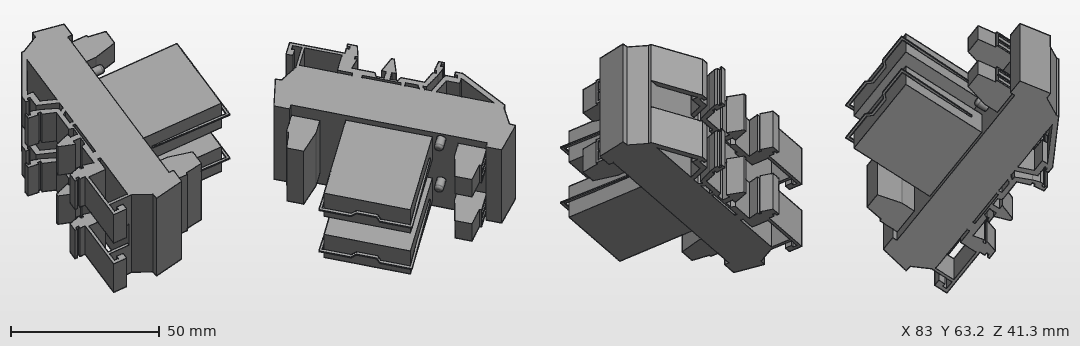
import cadquery as cq


LENGTH = 83.0
WIDTH = 41.3
RIM_Y = 18.5
DECK_Y = 16.8
DECK_HALF = 33.9
RIM_HALF = 39.35
TIP_Y = 7.5
SHOULDER_Y = 7.3
FOOT_FACE_HALF = 35.9
FOOT_FACE_Y = 1.0

RELAY_HALF = 14.9
RELAY_THICK = 13.0
RELAY_TOP = 48.1
RELAY_CENTRES = (9.0, 32.2)
CLIP_TOP = 50.7
CLIP_END_Y = 21.1
CLIP_HALF_TOP = 16.1
CLIP_HALF_END = 15.4
CLIP_WALL = 0.9
CLIP_BAR = 1.0
CLIP_THICK = 0.6
DIP_HALF_OUTER = 5.0
DIP_HALF_FLOOR = 3.5
DIP_DEPTH = CLIP_TOP - CLIP_BAR - RELAY_TOP
DIP_INNER_SHIFT = 0.2

PIN_X = -18.1
PIN_RADIUS = 1.6
PIN_TOP = 21.3
PIN_ROUND = 1.0
PIN_ABOVE_RELAY_CENTRE = 6.55

BLOCK_TOP = 30.5
BLOCK_OUTER = 33.7
BLOCK_INNER = 23.9
BLOCK_CREST_OUTER = 31.95
BLOCK_CREST_INNER = 26.15
BLOCK_STEP_X = 32.95
BLOCK_STEP_Y = 24.0
BLOCK_TAPER_Y = 21.9
SMALL_BLOCK_WIDTH = 9.8
SMALL_BLOCK_CENTRES = (8.05, 33.0)
LARGE_BLOCK_WIDTH = 29.9
WINDOW_TOP = 23.2
WINDOW_WIDTH = 3.5
WINDOW_PITCH = 4.2
WINDOW_DEPTH = 0.5
WINDOW_OFFSET = 0.1

TIER_GAP = 11.0
TIER_WIDTH = (WIDTH - TIER_GAP) / 2
TIER_STARTS = (0.0, WIDTH - TIER_WIDTH)
FOOT_BOTTOM = -12.45
PLATE_BOTTOM = -3.0
PLATE_RIGHT = 22.1
FIXED_FOOT_ROOT = 17.6
PLATE_LEFT_TOP = -1.25
PLATE_RIGHT_TOP = -1.0
PLATE_TOP_LEFT_X = -8.6
PLATE_BOTTOM_LEFT_X = -7.55
RELIEF_TOP = -1.5
CATCH_DEPTH = 1.0
SPRING_FOOT_LEFT = -12.2

TRAY_FLOOR_TOP = -7.5
TRAY_FLOOR_BOTTOM = -8.55
TRAY_WALL = 1.0
TRAY_LEFT = 21.3
TRAY_RIGHT = 40.4
LIP_TOP = -3.5
LIP_LEFT = 38.0
LIP_WALL = 1.3
LIP_BOTTOM = -6.0


def prism(points, z_start, depth):
    """Extrude a closed XY outline upward from z_start."""
    return cq.Workplane("XY").workplane(offset=z_start).polyline(points).close().extrude(depth)


def block(x_min, x_max, y_min, y_max, z_start, depth):
    """Rectangular block given by its limits in X and Y."""
    corners = [(x_min, y_min), (x_max, y_min), (x_max, y_max), (x_min, y_max)]
    return prism(corners, z_start, depth)


def mirrored(right_half):
    """Close an outline by mirroring its +X half, listed from one end to the other."""
    return right_half + [(-x, y) for x, y in reversed(right_half)]


def housing():
    right_half = [
        (FOOT_FACE_HALF, 0),
        (FOOT_FACE_HALF, FOOT_FACE_Y),
        (RIM_HALF, SHOULDER_Y),
        (LENGTH / 2, TIP_Y),
        (RIM_HALF, RIM_Y),
        (DECK_HALF, RIM_Y),
        (DECK_HALF, DECK_Y),
    ]
    return prism(mirrored(right_half), 0, WIDTH)


def relay(z_centre):
    z_start = z_centre - RELAY_THICK / 2
    return block(-RELAY_HALF, RELAY_HALF, DECK_Y, RELAY_TOP, z_start, RELAY_THICK)


def clip(z_centre):
    """Flat strip bent over the relay, with a dip that presses on the relay top."""
    bar_bottom = CLIP_TOP - CLIP_BAR
    right_half = [
        (DIP_HALF_FLOOR + DIP_INNER_SHIFT, RELAY_TOP),
        (DIP_HALF_OUTER + DIP_INNER_SHIFT, bar_bottom),
        (CLIP_HALF_TOP - CLIP_WALL, bar_bottom),
        (CLIP_HALF_END - CLIP_WALL, CLIP_END_Y),
        (CLIP_HALF_END, CLIP_END_Y),
        (CLIP_HALF_TOP, CLIP_TOP),
        (DIP_HALF_OUTER, CLIP_TOP),
        (DIP_HALF_FLOOR, CLIP_TOP - DIP_DEPTH),
    ]
    return prism(mirrored(right_half), z_centre - CLIP_THICK / 2, CLIP_THICK)


def guide_pin(z_centre):
    """Round-ended pin standing on the deck."""
    pin = cq.Workplane("XZ", origin=(PIN_X, DECK_Y, z_centre)).circle(PIN_RADIUS)
    return pin.extrude(DECK_Y - PIN_TOP).faces(">Y").edges().fillet(PIN_ROUND)


def terminal_block(z_centre, width):
    """Tapered terminal block for the +X end."""
    outline = [
        (BLOCK_INNER, DECK_Y),
        (BLOCK_OUTER, DECK_Y),
        (BLOCK_OUTER, BLOCK_STEP_Y),
        (BLOCK_STEP_X, BLOCK_STEP_Y),
        (BLOCK_CREST_OUTER, BLOCK_TOP),
        (BLOCK_CREST_INNER, BLOCK_TOP),
        (BLOCK_INNER, BLOCK_TAPER_Y),
    ]
    return prism(outline, z_centre - width / 2, width)


def small_terminal_block(z_centre):
    """Two-pole block at the -X end with a shallow window for each pole."""
    body = terminal_block(z_centre, SMALL_BLOCK_WIDTH).mirror("YZ")
    for side in (-1, 1):
        z_start = z_centre + WINDOW_OFFSET + side * WINDOW_PITCH / 2 - WINDOW_WIDTH / 2
        window_floor = WINDOW_DEPTH - BLOCK_OUTER
        window = block(-BLOCK_OUTER, window_floor, DECK_Y, WINDOW_TOP, z_start, WINDOW_WIDTH)
        body = body.cut(window)
    return body


def slanted_leg(z_start):
    """Triangular leg at the -X end, ending in a small hook."""
    toe_left = -19.2
    toe_right = -16.6
    toe_bottom = -9.55
    lip_top = -8.3
    hook_x = -17.7
    knee_bottom = -7.4
    knee_top = -5.2
    outline = [
        (-FOOT_FACE_HALF, 0),
        (toe_left, toe_bottom),
        (toe_right, toe_bottom),
        (toe_right, lip_top),
        (hook_x, lip_top),
        (hook_x, knee_bottom),
        (-13.6, knee_bottom),
        (-10.6, 0),
        (-12.4, 0),
        (-14.6, knee_top),
        (toe_left, knee_top),
        (toe_left, knee_bottom),
        (-32.2, 0),
    ]
    return prism(outline, z_start, TIER_WIDTH)


def rail_plate(z_start):
    """Plate that rests on the rail, tied to the housing by short struts."""
    right_strut_edge = 16.85
    gap_right = -1.4
    outline = [
        (-8.3, 0),
        (-7.4, PLATE_LEFT_TOP),
        (PLATE_TOP_LEFT_X, PLATE_LEFT_TOP),
        (PLATE_BOTTOM_LEFT_X, PLATE_BOTTOM),
        (PLATE_RIGHT, PLATE_BOTTOM),
        (PLATE_RIGHT, PLATE_RIGHT_TOP),
        (right_strut_edge, PLATE_RIGHT_TOP),
        (right_strut_edge, 0),
    ]
    strut_gap = [(-6.5, 0), (-5.65, PLATE_LEFT_TOP), (gap_right, PLATE_LEFT_TOP), (gap_right, 0)]
    relief = [(0.7, PLATE_BOTTOM), (1.4, RELIEF_TOP), (8.8, RELIEF_TOP), (9.55, PLATE_BOTTOM)]
    slot_width = 13.45
    slot_bottom = -0.8
    plate = prism(outline, z_start, TIER_WIDTH)
    plate = plate.cut(prism(strut_gap, z_start, TIER_WIDTH))
    plate = plate.cut(prism(relief, z_start, TIER_WIDTH))
    return plate.cut(block(0, slot_width, slot_bottom, 0, z_start, TIER_WIDTH))


def arrow_latch(z_start):
    """Arrow-shaped latch hanging below the middle of the rail plate."""
    centre = 5.1
    stem_half = 1.0
    barb_half = 2.6
    tip_half = 0.5
    barb_y = -4.2
    tip_y = -10.0
    right_half = [
        (tip_half, tip_y),
        (barb_half, barb_y),
        (stem_half, barb_y),
        (stem_half, RELIEF_TOP),
    ]
    return prism(mirrored(right_half), z_start, TIER_WIDTH).translate((centre, 0, 0))


def spring_foot(z_start):
    """Slender foot on the -X side of the rail."""
    groove_top = -7.5
    groove_bottom = -8.55
    groove_floor_x = -10.4
    outline = [
        (PLATE_TOP_LEFT_X, PLATE_LEFT_TOP),
        (-11.3, -6.9),
        (SPRING_FOOT_LEFT, -9.55),
        (SPRING_FOOT_LEFT, FOOT_BOTTOM),
        (-10.1, FOOT_BOTTOM),
        (-9.6, groove_bottom),
        (groove_floor_x, groove_bottom),
        (groove_floor_x, groove_top),
        (-9.3, groove_top),
        (PLATE_BOTTOM_LEFT_X, PLATE_BOTTOM),
    ]
    catch_bottom = -11.8
    catch_right = SPRING_FOOT_LEFT + CATCH_DEPTH
    catch_top = catch_bottom + CATCH_DEPTH
    catch = block(SPRING_FOOT_LEFT, catch_right, catch_bottom, catch_top, z_start, TIER_WIDTH)
    return prism(outline, z_start, TIER_WIDTH).cut(catch)


def fixed_foot(z_start):
    """Solid foot on the +X side of the rail."""
    rail_face = 16.6
    groove_top = -7.05
    groove_bottom = groove_top - CATCH_DEPTH
    outline = [
        (FIXED_FOOT_ROOT, PLATE_BOTTOM),
        (rail_face, groove_top),
        (FIXED_FOOT_ROOT, groove_top),
        (FIXED_FOOT_ROOT, groove_bottom),
        (rail_face, groove_bottom),
        (17.9, FOOT_BOTTOM),
        (TRAY_LEFT, FOOT_BOTTOM),
        (TRAY_LEFT, TRAY_FLOOR_BOTTOM),
        (PLATE_RIGHT, TRAY_FLOOR_BOTTOM),
        (PLATE_RIGHT, PLATE_BOTTOM),
    ]
    catch_bottom = -11.5
    catch_left = TRAY_LEFT - CATCH_DEPTH
    catch = block(catch_left, TRAY_LEFT, catch_bottom, catch_bottom + CATCH_DEPTH, z_start, TIER_WIDTH)
    return prism(outline, z_start, TIER_WIDTH).cut(catch)


def end_tray(z_start):
    """Floor and wall closing the +X end, with a hooked lip."""
    outline = [
        (PLATE_RIGHT, TRAY_FLOOR_BOTTOM),
        (TRAY_RIGHT, TRAY_FLOOR_BOTTOM),
        (TRAY_RIGHT, LIP_TOP),
        (LIP_LEFT, LIP_TOP),
        (LIP_LEFT, LIP_BOTTOM),
        (TRAY_RIGHT - LIP_WALL, LIP_BOTTOM),
        (TRAY_RIGHT - LIP_WALL, TRAY_FLOOR_TOP),
        (FOOT_FACE_HALF, TRAY_FLOOR_TOP),
        (FOOT_FACE_HALF, 0),
        (FOOT_FACE_HALF - TRAY_WALL, 0),
        (FOOT_FACE_HALF - TRAY_WALL, TRAY_FLOOR_TOP),
        (PLATE_RIGHT, TRAY_FLOOR_TOP),
    ]
    return prism(outline, z_start, TIER_WIDTH)


result = housing()

for relay_z in RELAY_CENTRES:
    result = result.union(relay(relay_z))
    result = result.union(clip(relay_z))
    result = result.union(guide_pin(relay_z + PIN_ABOVE_RELAY_CENTRE))

for block_z in SMALL_BLOCK_CENTRES:
    result = result.union(small_terminal_block(block_z))
result = result.union(terminal_block(WIDTH / 2, LARGE_BLOCK_WIDTH))

for tier_z in TIER_STARTS:
    for foot_part in (slanted_leg, rail_plate, arrow_latch, spring_foot, fixed_foot, end_tray):
        result = result.union(foot_part(tier_z))